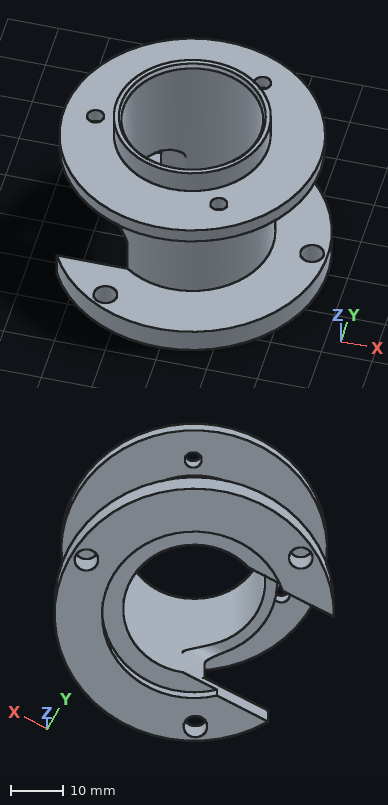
import cadquery as cq

base_thickness = 5.05
recess_depth = 2.6
window_top = 14.5
flange_bottom = 28.65
flange_top = 31.7
total_height = 36.6

base_diameter = 53.25
flange_diameter = 50.7
tube_diameter = 31.7
collar_diameter = 29.95
bore_diameter = 27.05
recess_diameter = 35.15
chamfer_width = 0.5
chamfer_depth = 0.85

window_width = 25.4
window_corner_radius = 3.05

holes_per_flange = 3
base_hole_diameter = 4.5
base_hole_circle_radius = 23.6
base_hole_start_angle = 0
flange_hole_diameter = 3.2
flange_hole_circle_radius = 19.05
flange_hole_start_angle = 180


def disc(diameter, bottom, top):
    """Solid cylinder about the Z axis between two heights."""
    return cq.Workplane("XY").workplane(offset=bottom).circle(diameter / 2).extrude(top - bottom)


def bolt_holes(diameter, circle_radius, start_angle, bottom, top):
    """Cutters for equally spaced holes through a flange."""
    return (
        cq.Workplane("XY")
        .workplane(offset=bottom)
        .polarArray(circle_radius, start_angle, 360, holes_per_flange)
        .circle(diameter / 2)
        .extrude(top - bottom)
    )


def side_window():
    """Round-cornered cutter opening the tube and the base toward -X."""
    length = base_diameter / 2
    return (
        cq.Workplane("XY")
        .box(length, window_width, window_top, centered=(False, True, False))
        .translate((-length, 0, 0))
        .edges("|X and >Z")
        .fillet(window_corner_radius)
    )


body = disc(base_diameter, 0, base_thickness)
body = body.union(disc(tube_diameter, base_thickness, flange_bottom))
body = body.union(disc(flange_diameter, flange_bottom, flange_top))
body = body.union(disc(collar_diameter, flange_top, total_height))

bore = disc(bore_diameter, 0, total_height)
body = body.cut(bore)
bore_radius = bore_diameter / 2
chamfer_cone = cq.Solid.makeCone(bore_radius, bore_radius + chamfer_width, chamfer_depth)
body = body.cut(cq.Workplane(chamfer_cone).translate((0, 0, total_height - chamfer_depth)))
body = body.cut(disc(recess_diameter, 0, recess_depth))

body = body.cut(side_window())
body = body.cut(
    bolt_holes(base_hole_diameter, base_hole_circle_radius, base_hole_start_angle, 0, base_thickness)
)
result = body.cut(
    bolt_holes(
        flange_hole_diameter, flange_hole_circle_radius, flange_hole_start_angle, flange_bottom, flange_top
    )
)